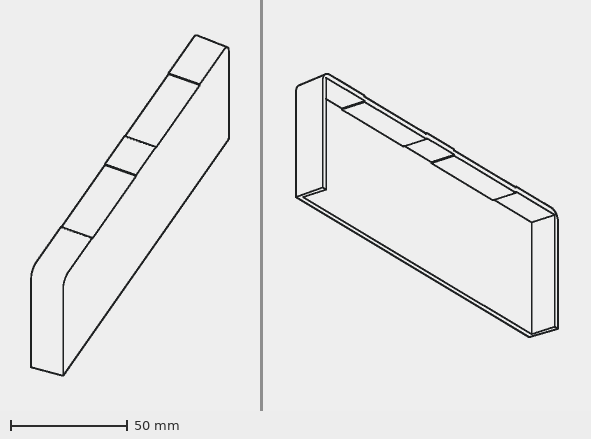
import cadquery as cq
import math

depth = 15.0
length = 171.5
height = 56.3
wall = 2.5
draft_angle = 3.0
corner_radius = 5.1

recess_depth = 0.5
recess_inner_y = 10.1
recess_outer_y = 55.0

draft_shift = depth * math.tan(math.radians(draft_angle))


def stepped_outline(x, inset):
    """Outline in the YZ plane at x, moved inward from the sides and top."""
    side = length / 2 - inset
    top = height - inset
    recess_floor = top - recess_depth
    right_half = [
        (recess_inner_y, top),
        (recess_inner_y, recess_floor),
        (recess_outer_y, recess_floor),
        (recess_outer_y, top),
        (side, top),
        (side, 0),
    ]
    left_half = [(-y, z) for y, z in reversed(right_half)]
    return cq.Workplane("YZ", origin=(x, 0, 0)).polyline(right_half + left_half).close()


def is_upper_corner(edge):
    """True for the two edges along the depth where the top meets an end wall."""
    center = edge.Center()
    runs_along_depth = edge.BoundingBox().xlen > depth / 2
    return runs_along_depth and center.z > height / 2 and abs(center.y) > recess_outer_y + wall


def drafted_body():
    """Solid body tapering toward +X, with rounded upper corners."""
    open_face = stepped_outline(0, 0).wire().val()
    closed_face = stepped_outline(depth, draft_shift).wire().val()
    body = cq.Workplane(cq.Solid.makeLoft([open_face, closed_face], True))
    corners = body.edges().filter(is_upper_corner)
    return corners.fillet(corner_radius)


def cavity():
    """Straight-sided pocket, open at -X and at the bottom."""
    return stepped_outline(0, wall).extrude(depth - wall)


result = drafted_body().cut(cavity())